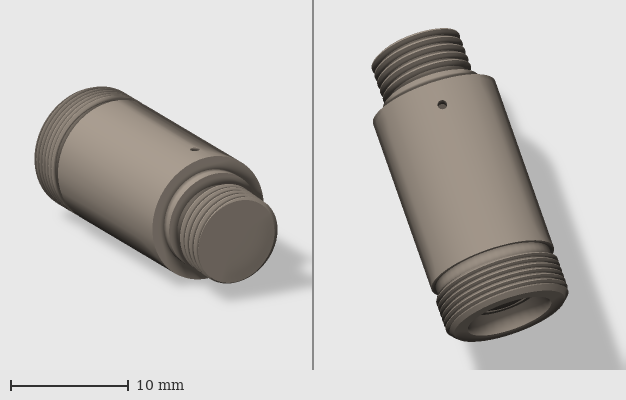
import cadquery as cq
import math

body_radius = 5.502
body_start = 4.5
body_end = 20.2
neck_radius = 5.13
front_core_radius = 5.18
front_thread_length = 3.52
front_thread_pitch = 0.5
front_thread_phase = 0.28
chamfer_depth = 0.54
mouth_radius = 3.75
funnel_end_radius = 3.2
funnel_depth = 1.65

pin_hole_radius = 0.4
pin_hole_x = 18.02
pin_hole_depth = 1.02

lens_radius = 2.73
lens_rim_x = 1.79
lens_pole_x = 1.17
lens_back_x = 2.55

flange_radius = 4.35
tilt_angle = 3.5
stub_x = 21.0
stub_drop = 0.25
stub_core_radius = 3.52
stub_length = 4.3
stub_thread_radius = 4.0
stub_thread_pitch = 0.75
stub_thread_start = 0.85
stub_thread_phase = 0.38

flank_angle = 30.0
crest_flat_per_pitch = 1 / 8
core_overrun = 1.02
thread_clearance = 0.25
root_sink = 0.038


def cylinder(radius, start, end):
    """A round bar on the X axis between two stations."""
    return cq.Workplane("YZ", origin=(start, 0, 0)).circle(radius).extrude(end - start)


def thread_ridge(core_radius, crest_radius, pitch, phase, first_crest, last_crest):
    """A right-hand helical ridge around X; its crest crosses +Z at the phase station."""
    half_crest = crest_flat_per_pitch * pitch / 2
    sunk_radius = core_radius - root_sink
    half_root = half_crest + (crest_radius - sunk_radius) * math.tan(math.radians(flank_angle))
    helix = cq.Wire.makeHelix(pitch, last_crest - first_crest, core_radius)
    ridge = (
        cq.Workplane("XZ")
        .polyline([
            (sunk_radius, -half_root),
            (crest_radius, -half_crest),
            (crest_radius, half_crest),
            (sunk_radius, half_root),
        ])
        .close()
        .sweep(cq.Workplane(obj=helix), isFrenet=True)
    )
    turn_to_phase = 360 * (first_crest - phase) / pitch
    return (
        ridge.rotate((0, 0, 0), (0, 0, 1), turn_to_phase)
        .rotate((0, 0, 0), (0, 1, 0), 90)
        .rotate((0, 0, 0), (1, 0, 0), 180)
        .translate((first_crest, 0, 0))
    )


def threaded_bar(core_radius, length, ridge, envelope):
    """Join a ridge to an overlong core, then trim both to an envelope that starts at X = 0."""
    long_core = cylinder(core_radius, -core_overrun, length + core_overrun)
    turned_core = long_core.rotate((0, 0, 0), (1, 0, 0), 180)
    return turned_core.union(ridge).intersect(envelope)


def make_front_thread():
    """Chamfered external thread at the front end of the housing."""
    ridge = thread_ridge(
        front_core_radius, body_radius, front_thread_pitch, front_thread_phase,
        -front_thread_pitch, front_thread_length + front_thread_pitch,
    )
    chamfer_end = chamfer_depth + thread_clearance
    envelope = (
        cq.Workplane("XY")
        .polyline([
            (0, 0),
            (0, body_radius - chamfer_depth),
            (chamfer_end, body_radius + thread_clearance),
            (front_thread_length, body_radius + thread_clearance),
            (front_thread_length, 0),
        ])
        .close()
        .revolve(360, (0, 0, 0), (1, 0, 0))
    )
    return threaded_bar(front_core_radius, front_thread_length, ridge, envelope)


def make_housing():
    funnel = (
        cq.Workplane("XY")
        .polyline([(0, 0), (0, mouth_radius), (funnel_depth, funnel_end_radius), (funnel_depth, 0)])
        .close()
        .revolve(360, (0, 0, 0), (1, 0, 0))
    )
    housing = (
        make_front_thread()
        .union(cylinder(neck_radius, front_thread_length, body_start))
        .union(cylinder(body_radius, body_start, body_end))
        .cut(funnel)
        .cut(cylinder(lens_radius, funnel_depth, lens_back_x))
    )
    hole = (
        cq.Workplane("XY", origin=(pin_hole_x, 0, body_radius - pin_hole_depth))
        .circle(pin_hole_radius)
        .extrude(2 * pin_hole_depth)
    )
    return housing.cut(hole).cut(hole.mirror("XY"))


def make_lens():
    sagitta = lens_rim_x - lens_pole_x
    dome_radius = (lens_radius ** 2 + sagitta ** 2) / (2 * sagitta)
    half_span = math.asin(lens_radius / dome_radius) / 2
    mid_dome = (
        lens_pole_x + dome_radius * (1 - math.cos(half_span)),
        dome_radius * math.sin(half_span),
    )
    return (
        cq.Workplane("XY")
        .moveTo(lens_pole_x, 0)
        .threePointArc(mid_dome, (lens_rim_x, lens_radius))
        .lineTo(lens_back_x, lens_radius)
        .lineTo(lens_back_x, 0)
        .close()
        .revolve(360, (0, 0, 0), (1, 0, 0))
    )


def tilt(shape):
    """Move a shape from the X axis at the origin to the root and slope of the stub."""
    return shape.rotate((0, 0, 0), (0, 1, 0), tilt_angle).translate((stub_x, 0, -stub_drop))


def make_nose():
    half_slope = flange_radius * math.tan(math.radians(tilt_angle))
    flange_blank = cylinder(flange_radius, body_end, stub_x + 2 * half_slope)
    beyond_slope = tilt(cylinder(2 * flange_radius, 0, stub_length))
    flange = flange_blank.cut(beyond_slope)

    ridge = thread_ridge(
        stub_core_radius, stub_thread_radius, stub_thread_pitch, stub_thread_phase,
        stub_thread_start, stub_length + stub_thread_pitch,
    )
    envelope = cylinder(stub_thread_radius + thread_clearance, 0, stub_length)
    stub = threaded_bar(stub_core_radius, stub_length, ridge, envelope)
    return flange.union(tilt(stub))


housing = make_housing()
lens = make_lens()
nose = make_nose()

result = cq.Compound.makeCompound([housing.solids().val(), lens.val(), nose.solids().val()])